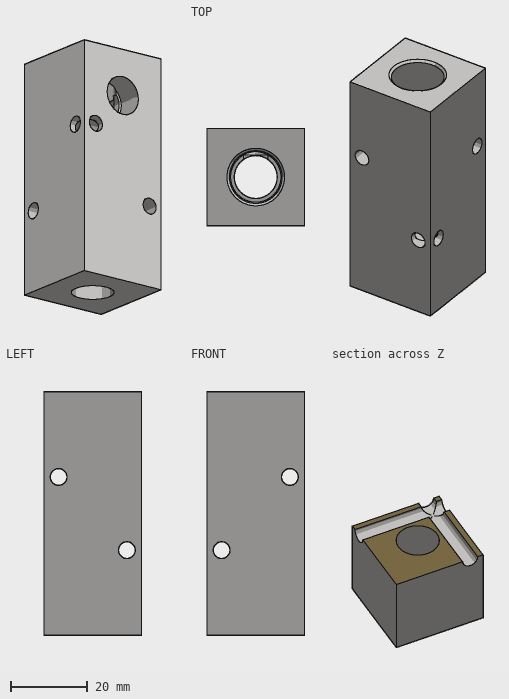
import cadquery as cq

width = 25.4
height = 63.5
top = height / 2
back = width / 2

bore_diameter = 11.11
socket_mouth_diameter = 15.0
socket_top_diameter = 13.74
socket_floor_diameter = 13.1
socket_chamfer_depth = (socket_mouth_diameter - socket_top_diameter) / 2
socket_depth = 10.0

port_drop = 12.7
port_inner_diameter = 8.43
port_socket_diameter = 10.3
port_neck_diameter = 9.87
port_socket_depth = 6.94
port_z = top - port_drop

mount_diameter = 4.3
mount_offset = 8.89
mount_height = 9.525


def vertical_bore():
    """Solid of the stepped vertical bore, revolved about Z."""
    bore_radius = bore_diameter / 2
    outline = [
        (0, -top),
        (bore_radius, -top),
        (bore_radius, top - socket_depth),
        (socket_floor_diameter / 2, top - socket_depth),
        (socket_top_diameter / 2, top - socket_chamfer_depth),
        (socket_mouth_diameter / 2, top),
        (0, top),
    ]
    return cq.Workplane("XZ").polyline(outline).close().revolve(360, (0, 0, 0), (0, 1, 0))


def side_port():
    """Solid of the tapered side port and its inner drilling, revolved about a line along Y."""
    inner_radius = port_inner_diameter / 2
    neck_y = back - port_socket_depth
    outline = [
        (0, 0),
        (inner_radius, 0),
        (inner_radius, neck_y),
        (port_neck_diameter / 2, neck_y),
        (port_socket_diameter / 2, back),
        (0, back),
    ]
    port = cq.Workplane("XY").polyline(outline).close().revolve(360, (0, 0, 0), (0, 1, 0))
    return port.translate((0, 0, port_z))


def mounting_hole(plane, across, z):
    """Solid of a hole running the full width of the block, normal to the given plane."""
    return cq.Workplane(plane).center(across, z).circle(mount_diameter / 2).extrude(width / 2, both=True)


result = cq.Workplane("XY").box(width, width, height)
result = result.cut(vertical_bore()).cut(side_port())
for side in (1, -1):
    for plane in ("XZ", "YZ"):
        result = result.cut(mounting_hole(plane, side * mount_offset, side * mount_height))